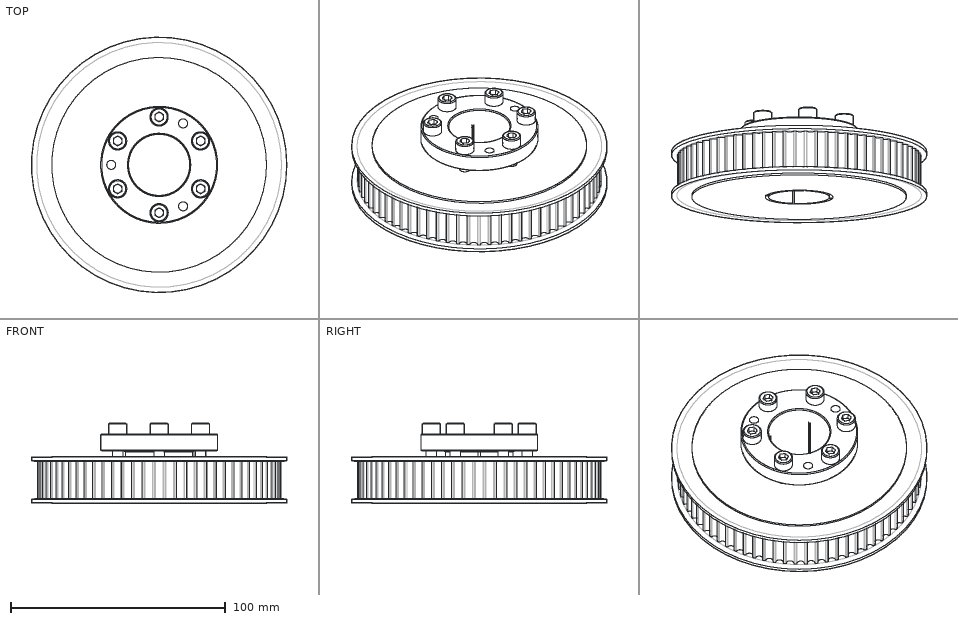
import cadquery as cq
import math

PULLEY_WIDTH = 22.0
TOOTH_COUNT = 72
BELT_PITCH = 5.0
PITCH_LINE_OFFSET = 0.57
GROOVE_RADIUS = 1.75
GROOVE_DEPTH = 2.06
GROOVE_LIP_RADIUS = 0.35

FLANGE_DIAMETER = 119.0
FLANGE_BORE = 100.0
FLANGE_THICKNESS = 1.6
FLANGE_STEP = 0.9
FLANGE_BEND_DIAMETER = 114.0
FLANGE_RIM_RISE = 0.5

HUB_DIAMETER = 54.5
HUB_THICKNESS = 8.0
HUB_GAP = 2.5
HUB_CHAMFER = 0.5
SLEEVE_DIAMETER = 31.5
SLEEVE_NECK_FLARE = 0.5
BUSH_BORE = 28.5
SLIT_WIDTH = 1.0
SLIT_ANGLES = (0, 90)

BOLT_CIRCLE_RADIUS = 22.3
SCREW_COUNT = 6
SCREW_FIRST_ANGLE = 30.0
SCREW_SETOUT_ANGLE = 270.0
SCREW_DIAMETER = 5.0
HEAD_DIAMETER = 8.5
HEAD_HEIGHT = 5.0
HEAD_CHAMFER = 0.5
SOCKET_ACROSS_FLATS = 4.0
SOCKET_DEPTH = 2.5
SOCKET_CONE_DEPTH = 1.0
SCREW_ENGAGEMENT = 10.0

JACK_HOLE_COUNT = 3
JACK_HOLE_FIRST_ANGLE = 60.0
JACK_HOLE_DIAMETER = 4.2

TIP_RADIUS = TOOTH_COUNT * BELT_PITCH / (2 * math.pi) - PITCH_LINE_OFFSET
HUB_BOTTOM = PULLEY_WIDTH + HUB_GAP
HUB_TOP = HUB_BOTTOM + HUB_THICKNESS
SCREW_END = PULLEY_WIDTH - SCREW_ENGAGEMENT
FLANGE_OUTER_FACE = PULLEY_WIDTH - FLANGE_STEP
FLANGE_INNER_FACE = FLANGE_OUTER_FACE - FLANGE_THICKNESS


def even_angles(count, first_angle):
    """Evenly spaced angles round the axis, in degrees."""
    return [first_angle + i * 360.0 / count for i in range(count)]


def bolt_circle_points(count, first_angle):
    """Evenly spaced points on the bolt circle."""
    points = []
    for degrees in even_angles(count, first_angle):
        angle = math.radians(degrees)
        points.append((BOLT_CIRCLE_RADIUS * math.cos(angle), BOLT_CIRCLE_RADIUS * math.sin(angle)))
    return points


def cylinder(diameter, bottom, top):
    """Cylinder on the Z axis between two heights."""
    return cq.Workplane("XY").workplane(offset=bottom).circle(diameter / 2).extrude(top - bottom)


def holes(points, diameter, bottom, top):
    """Cutting cylinders at the given points between two heights."""
    sketch = cq.Workplane("XY").workplane(offset=bottom).pushPoints(points)
    return sketch.circle(diameter / 2).extrude(top - bottom)


SCREW_POINTS = bolt_circle_points(SCREW_COUNT, SCREW_FIRST_ANGLE)
JACK_HOLE_POINTS = bolt_circle_points(JACK_HOLE_COUNT, JACK_HOLE_FIRST_ANGLE)


def turned(x, y, angle):
    """Point turned about the axis by an angle in radians."""
    return (
        x * math.cos(angle) - y * math.sin(angle),
        x * math.sin(angle) + y * math.cos(angle),
    )


def toothed_outline():
    """Closed outline of round belt grooves with rounded lips, joined by tooth tip arcs."""
    groove_center = TIP_RADIUS - GROOVE_DEPTH + GROOVE_RADIUS
    lip_center = TIP_RADIUS - GROOVE_LIP_RADIUS
    center_distance = GROOVE_RADIUS + GROOVE_LIP_RADIUS
    lip_angle = math.acos(
        (groove_center**2 + lip_center**2 - center_distance**2) / (2 * groove_center * lip_center)
    )
    lip_x = lip_center * math.cos(lip_angle)
    lip_y = lip_center * math.sin(lip_angle)
    share = GROOVE_RADIUS / center_distance
    tangent_x = groove_center + (lip_x - groove_center) * share
    tangent_y = lip_y * share
    start_direction = math.atan2(tangent_y - lip_y, tangent_x - lip_x)
    middle_direction = (start_direction + lip_angle) / 2
    lip_middle_x = lip_x + GROOVE_LIP_RADIUS * math.cos(middle_direction)
    lip_middle_y = lip_y + GROOVE_LIP_RADIUS * math.sin(middle_direction)
    lip_end_x = TIP_RADIUS * math.cos(lip_angle)
    lip_end_y = TIP_RADIUS * math.sin(lip_angle)

    step = 2 * math.pi / TOOTH_COUNT
    outline = cq.Workplane("XY").moveTo(lip_end_x, -lip_end_y)
    for i in range(TOOTH_COUNT):
        angle = i * step
        outline = outline.threePointArc(
            turned(lip_middle_x, -lip_middle_y, angle), turned(tangent_x, -tangent_y, angle)
        )
        outline = outline.threePointArc(
            turned(TIP_RADIUS - GROOVE_DEPTH, 0, angle), turned(tangent_x, tangent_y, angle)
        )
        outline = outline.threePointArc(
            turned(lip_middle_x, lip_middle_y, angle), turned(lip_end_x, lip_end_y, angle)
        )
        outline = outline.threePointArc(
            turned(TIP_RADIUS, 0, angle + step / 2), turned(lip_end_x, -lip_end_y, angle + step)
        )
    return outline.close()


def make_pulley():
    """Toothed rim with a round boss at each end that carries a flange."""
    teeth_bottom = PULLEY_WIDTH - FLANGE_INNER_FACE
    teeth = toothed_outline().extrude(FLANGE_INNER_FACE - teeth_bottom)
    body = cylinder(FLANGE_BORE, 0, PULLEY_WIDTH).union(teeth.translate((0, 0, teeth_bottom)))
    body = body.cut(cylinder(SLEEVE_DIAMETER, 0, PULLEY_WIDTH))
    return body.cut(holes(SCREW_POINTS, SCREW_DIAMETER, SCREW_END, PULLEY_WIDTH))


def make_upper_flange():
    """Flat ring whose rim is bent away from the belt."""
    profile = [
        (FLANGE_BORE / 2, FLANGE_INNER_FACE),
        (FLANGE_BEND_DIAMETER / 2, FLANGE_INNER_FACE),
        (FLANGE_DIAMETER / 2, FLANGE_INNER_FACE + FLANGE_RIM_RISE),
        (FLANGE_DIAMETER / 2, FLANGE_OUTER_FACE + FLANGE_RIM_RISE),
        (FLANGE_BEND_DIAMETER / 2, FLANGE_OUTER_FACE),
        (FLANGE_BORE / 2, FLANGE_OUTER_FACE),
    ]
    return cq.Workplane("XZ").polyline(profile).close().revolve(360, (0, 0), (0, 1))


def make_bush():
    """Clamping hub with a slit sleeve that fills the pulley bore."""
    hub = cylinder(HUB_DIAMETER, HUB_BOTTOM, HUB_TOP).faces("|Z").edges().chamfer(HUB_CHAMFER)
    sleeve = cylinder(SLEEVE_DIAMETER, 0, HUB_BOTTOM)
    slit_top = HUB_BOTTOM - SLEEVE_NECK_FLARE
    for angle in SLIT_ANGLES:
        slit = cq.Workplane("XY").box(SLEEVE_DIAMETER, SLIT_WIDTH, slit_top, centered=(True, True, False))
        sleeve = sleeve.cut(slit.rotate((0, 0, 0), (0, 0, 1), angle))
    sleeve_radius = SLEEVE_DIAMETER / 2
    flare_profile = [
        (0, slit_top),
        (sleeve_radius, slit_top),
        (sleeve_radius + SLEEVE_NECK_FLARE, HUB_BOTTOM),
        (0, HUB_BOTTOM),
    ]
    flare = cq.Workplane("XZ").polyline(flare_profile).close().revolve(360, (0, 0), (0, 1))
    bush = hub.union(flare).union(sleeve).cut(cylinder(BUSH_BORE, 0, HUB_TOP))
    bush = bush.faces(">Z").edges(cq.selectors.RadiusNthSelector(0)).chamfer(HUB_CHAMFER)
    bush = bush.cut(holes(SCREW_POINTS, SCREW_DIAMETER, HUB_BOTTOM, HUB_TOP))
    return bush.cut(holes(JACK_HOLE_POINTS, JACK_HOLE_DIAMETER, HUB_BOTTOM, HUB_TOP))


def make_screw(angle):
    """Socket head cap screw on the bolt circle at an angle in degrees, with a cone below the hexagon."""
    head_top = HUB_TOP + HEAD_HEIGHT
    screw = cylinder(HEAD_DIAMETER, HUB_TOP, head_top).faces(">Z").chamfer(HEAD_CHAMFER)
    screw = screw.union(cylinder(SCREW_DIAMETER, SCREW_END, HUB_TOP))
    corner_diameter = SOCKET_ACROSS_FLATS / math.cos(math.radians(30))
    socket = cq.Workplane("XY").workplane(offset=head_top).polygon(6, corner_diameter).extrude(-SOCKET_DEPTH)
    socket = socket.rotate((0, 0, 0), (0, 0, 1), 30)
    cone = cq.Solid.makeCone(
        SOCKET_ACROSS_FLATS / 2,
        0,
        SOCKET_CONE_DEPTH,
        cq.Vector(0, 0, head_top - SOCKET_DEPTH),
        cq.Vector(0, 0, -1),
    )
    screw = screw.cut(socket).cut(cq.Workplane(cone)).translate((0, -BOLT_CIRCLE_RADIUS, 0))
    return screw.rotate((0, 0, 0), (0, 0, 1), angle - SCREW_SETOUT_ANGLE)


pulley = make_pulley()
upper_flange = make_upper_flange()
lower_flange = upper_flange.mirror("XY").translate((0, 0, PULLEY_WIDTH))
bush = make_bush()
screws = [make_screw(angle) for angle in even_angles(SCREW_COUNT, SCREW_FIRST_ANGLE)]

result = cq.Compound.makeCompound(
    [
        pulley.val(),
        upper_flange.val(),
        lower_flange.val(),
        bush.val(),
        *[screw.val() for screw in screws],
    ]
)